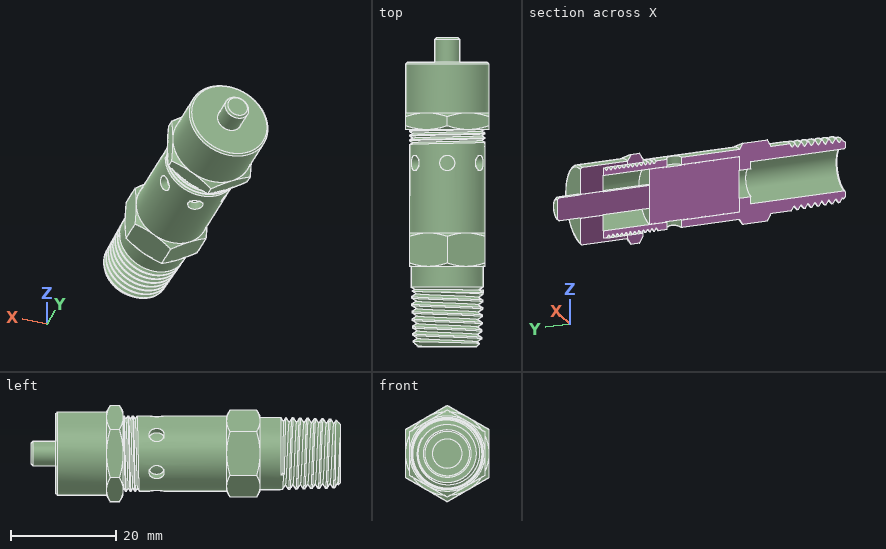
import cadquery as cq
import math

total_length = 58.75

neck_start = 11.6
hex_start = 15.3
hex_end = 21.6
top_thread_start = 38.3
nut_start = 41.25
nut_end = 44.4
cap_end = 54.05
housing_end = 49.35

body_diameter = 14.35
neck_diameter = 13.75
inlet_face_diameter = 11.05
inlet_chamfer_height = 1.0
inlet_bore_diameter = 8.45
inlet_bore_chamfer = 0.3
orifice_diameter = 5.6
seat_thickness = 2.35
piston_diameter = 11.15
vent_diameter = 2.9
vent_station = 34.9
vent_count = 6

inlet_pitch = 1.4
inlet_groove_depth = 0.9
inlet_groove_first = 0.95
inlet_turns = 7
runout_turns = 0.6
runout_rise = 0.3
pipe_taper = 1 / 16
top_pitch = 0.9
top_turns = 12
top_groove_depth = 0.6
groove_overshoot = 0.2
crest_share = 0.2
NO_TAPER = 360

nut_across_flats = 15.85
hex_chamfer_angle = 30.0
cap_chamfer = 0.35
stem_diameter = 4.75
stem_chamfer = 0.4
piston_end = 39.95

seat_end = hex_end
seat_start = seat_end - seat_thickness


def cylinder(diameter, start, end):
    """Solid cylinder on the Y axis."""
    return cq.Workplane("XZ", origin=(0, start, 0)).circle(diameter / 2).extrude(start - end)


def revolved(points):
    """Solid of revolution about Y from (radius, Y) points."""
    return cq.Workplane("XY").polyline(points).close().revolve(360, (0, 0, 0), (0, 1, 0))


def chamfered_hexagon(across_flats, start, end):
    """Hexagonal prism with corners on Z, its corners turned off by a cone at both ends."""
    flat_radius = across_flats / 2
    corner_radius = flat_radius / math.cos(math.radians(30))
    drop = (corner_radius - flat_radius) * math.tan(math.radians(hex_chamfer_angle))
    prism = (
        cq.Workplane("XZ", origin=(0, start, 0))
        .transformed(rotate=(0, 0, 90))
        .polygon(6, 2 * corner_radius)
        .extrude(start - end)
    )
    envelope = revolved([
        (0, start), (flat_radius, start), (corner_radius, start + drop),
        (corner_radius, end - drop), (flat_radius, end), (0, end),
    ])
    return prism.intersect(envelope)


def thread_groove(radius, width, depth, start, rise, turns, taper_angle=NO_TAPER, left_hand=False):
    """V-shaped helical groove, given its width at the crest, that starts on the +X side at Y = start."""
    half_width = width / 2 * (1 + groove_overshoot)
    path = cq.Wire.makeHelix(rise / turns, rise, radius, angle=taper_angle, lefthand=left_hand)
    groove = (
        cq.Workplane("XZ")
        .polyline([
            (radius - depth, 0),
            (radius + depth * groove_overshoot, half_width),
            (radius + depth * groove_overshoot, -half_width),
        ])
        .close()
        .sweep(cq.Workplane(path), isFrenet=True)
    )
    return groove.rotate((0, 0, 0), (1, 0, 0), -90).translate((0, start, 0))


def make_inlet():
    """Solid inlet end of the housing with its tapered left-hand thread."""
    neck_radius = neck_diameter / 2
    taper_slope = pipe_taper / 2
    end_radius = neck_radius - neck_start * taper_slope
    blank = revolved([
        (0, 0), (end_radius, 0), (neck_radius, neck_start), (neck_radius, hex_start), (0, hex_start),
    ])

    groove_width = inlet_pitch * (1 - crest_share)
    groove_start = inlet_groove_first - inlet_pitch
    groove_rise = inlet_pitch * (inlet_turns + 1)
    inlet = blank.cut(thread_groove(
        end_radius + groove_start * taper_slope, groove_width, inlet_groove_depth,
        groove_start, groove_rise, inlet_turns + 1,
        taper_angle=math.degrees(math.atan(taper_slope)), left_hand=True,
    ))

    runout_start = groove_start + groove_rise
    inlet = inlet.cut(thread_groove(
        end_radius + runout_start * taper_slope, groove_width, inlet_groove_depth,
        runout_start, runout_rise, runout_turns,
        taper_angle=math.degrees(math.atan(inlet_groove_depth / runout_rise)), left_hand=True,
    ))

    chamfer_radius = end_radius + inlet_chamfer_height * taper_slope
    return inlet.cut(revolved([
        (inlet_face_diameter / 2, 0), (chamfer_radius, inlet_chamfer_height),
        (neck_radius, inlet_chamfer_height), (neck_radius, 0),
    ]))


def make_barrel():
    """Solid barrel of the housing with its straight right-hand thread."""
    return cylinder(body_diameter, hex_end, housing_end).cut(thread_groove(
        body_diameter / 2, top_pitch * (1 - crest_share), top_groove_depth,
        top_thread_start, top_pitch * top_turns, top_turns,
    ))


def make_housing():
    housing = chamfered_hexagon(body_diameter, hex_start, hex_end)
    housing = housing.union(make_inlet()).union(make_barrel())

    inlet_bore_radius = inlet_bore_diameter / 2
    housing = housing.cut(revolved([
        (0, 0), (inlet_bore_radius + inlet_bore_chamfer, 0), (inlet_bore_radius, inlet_bore_chamfer),
        (inlet_bore_radius, seat_start), (0, seat_start),
    ]))
    housing = housing.cut(cylinder(orifice_diameter, seat_start, seat_end))
    housing = housing.cut(cylinder(piston_diameter, seat_end, housing_end))

    vent = cq.Workplane("XY", origin=(0, vent_station, 0)).circle(vent_diameter / 2).extrude(body_diameter)
    for index in range(vent_count):
        housing = housing.cut(vent.rotate((0, 0, 0), (0, 1, 0), index * 360 / vent_count))
    return housing


def make_lock_nut():
    nut = chamfered_hexagon(nut_across_flats, nut_start, nut_end)
    return nut.cut(cylinder(body_diameter, nut_start, nut_end))


def make_cap():
    cap = cylinder(nut_across_flats, nut_end, cap_end).faces(">Y").chamfer(cap_chamfer)
    cap = cap.cut(cylinder(body_diameter, nut_end, housing_end))
    return cap.cut(cylinder(stem_diameter, housing_end, cap_end))


def make_piston():
    return cylinder(piston_diameter, seat_end, piston_end)


def make_stem():
    return cylinder(stem_diameter, piston_end, total_length).faces(">Y").chamfer(stem_chamfer)


housing = make_housing()
lock_nut = make_lock_nut()
cap = make_cap()
piston = make_piston()
stem = make_stem()

result = cq.Compound.makeCompound([
    housing.val(), lock_nut.val(), cap.val(), piston.val(), stem.val(),
])